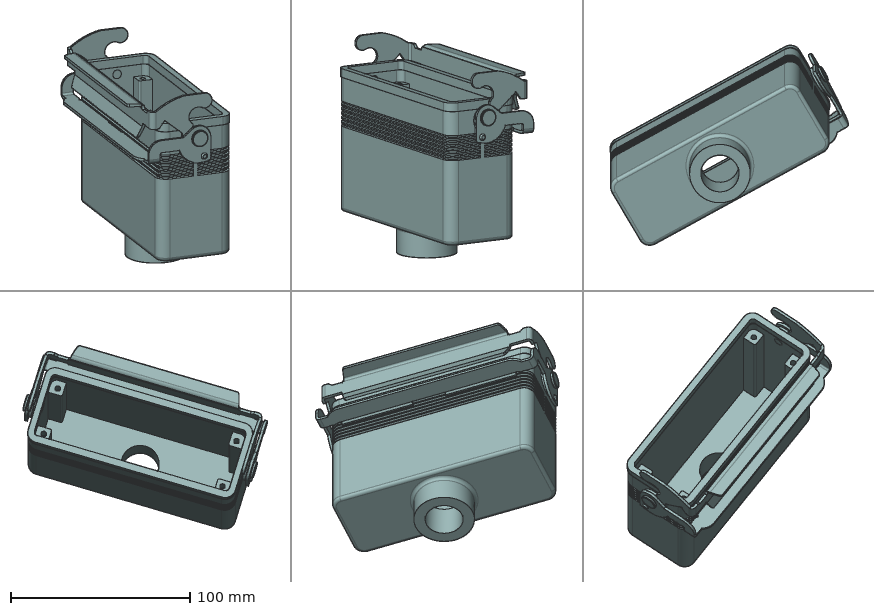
import cadquery as cq
import math


HOUSING_BOTTOM = 15.8
HOUSING_TOP = 97.0
BODY_LENGTH = 120.3
BODY_WIDTH = 44.0
BODY_CORNER_RADIUS = 6.3
BOTTOM_EDGE_RADIUS = 2.0
RIM_HEIGHT = 5.0
RIM_OVERHANG = 0.1
RIM_CORNER_RADIUS = 5.9

CAVITY_LENGTH = 113.1
CAVITY_WIDTH = 36.0
CAVITY_CORNER_RADIUS = 3.5
MOUTH_CORNER_RADIUS = 2.4
FLOOR_THICKNESS = 3.8
MOUTH_STEP = 0.1

POST_INNER_X = 48.4
POST_INNER_Y = 9.9
POST_CORNER_RADIUS = 1.1
POST_TOP = 85.2
SCREW_X = 52.0
SCREW_Y = 13.5
SCREW_HOLE_RADIUS = 1.5
SCREW_HOLE_DEPTH = 10.7

COLLAR_RADIUS = 16.9
COLLAR_ROOT_RADIUS = 2.0
BORE_RADIUS = 10.6

GROOVE_COUNT = 6
GROOVES_TOP = 78.4
GROOVES_BOTTOM = 64.2
RIDGE_HEIGHT = (GROOVES_TOP - GROOVES_BOTTOM) / (3 * GROOVE_COUNT - 1)
GROOVE_OPENING = 2 * RIDGE_HEIGHT
GROOVE_PITCH = GROOVE_OPENING + RIDGE_HEIGHT
GROOVE_BOTTOM_WIDTH = RIDGE_HEIGHT
GROOVE_DEPTH = 1.2
GROOVE_RIB_WIDTH = 2.7
CUT_MARGIN = 5.4

SHEET = 1.6
BEND_RADIUS = 2.8

PIVOT_Z = 87.9
PIN_RADIUS = 2.5
RIVET_HEAD_RADIUS = 4.7
RIVET_HEAD_CHAMFER = 0.4
LATCH_HALF_LENGTH = 67.0

LEVER_OUTER_X = 63.1
LEVER_FRONT_Y = -28.1
LEVER_TOP = 113.0
LEVER_FRONT_TOP = 105.3
LEVER_FRONT_BOTTOM = 95.4

HOOK_TIP_Y = 4.3
HOOK_TIP_RADIUS = 4.3
HOOK_TIP_Z = LEVER_TOP - HOOK_TIP_RADIUS
HOOK_MOUTH_RADIUS = 5.4
HOOK_MOUTH_MIDDLE_ANGLE = 120
HOOK_MOUTH_END_ANGLE = 197
EYE_CENTER = (-1.2, 86.0)
EYE_RADIUS = 7.9
NECK_BACK_Y = -3.1
NECK_TOP = 96.0
NECK_FRONT_CORNER_Z = 91.0
NOTCH_PEAK = (-20.0, 100.0)
NOTCH_FRONT_Y = -23.3
BROW_FRONT_Y = -25.7
BROW_ARC_POINT = (-16.1, 110.7)
BROW_BACK_Y = -8.3

FRONT_NOTCH_OUTER_X = 58.2
FRONT_NOTCH_INNER_X = 50.0
FRONT_NOTCH_BOTTOM = 103.3
LIP_ROOT_X = 49.0
LIP_TAPER_START = (48.8, -29.1)
LIP_TAPER_END = (47.2, -34.7)
LIP_TIP_X = 46.2
LIP_END_Y = -35.9
LIP_TOP = 106.5
LIP_BEND_INNER_RADIUS = 1.3
SKIRT_BEND_Z = 93.4
SKIRT_LENGTH = 7.4
SKIRT_LEAN = 23
SKIRT_ROOT_X = 50.4
SKIRT_TAPER_END = (48.4, 87.5)
SKIRT_CORNER_END = (47.2, 85.9)
SKIRT_TIP_X = 46.6

PLATE_GAP = 0.4
BAIL_OUTER_X = LEVER_OUTER_X + PLATE_GAP + SHEET
BAIL_BOTTOM = 75.7
BAIL_TOP = BAIL_BOTTOM + SHEET
BAIL_EYE_RADIUS = 7.0
BAIL_LEG_BACK = -23.5
BAIL_LEG_FRONT = -30.3
BAIL_EDGE_Y = -33.9
BAIL_EDGE_START_X = 57.9
BAIL_EDGE_ARC_POINT = (55.2, -32.7)
BAIL_EDGE_END_X = 51.2
BAIL_ARM_TOP = 89.1
BAIL_ARM_BOTTOM = 82.0
BAIL_ELBOW_RADIUS = 7.8
BAIL_INNER_ELBOW_RADIUS = 1.1
BAIL_SHOULDER_Y = -9.6
BAIL_LOBE_FRONT_Y = -11.8
BAIL_LOBE_FRONT_ARC_POINT = (-8.3, 76.6)
BAIL_LOBE_BOTTOM = 73.2
BAIL_LOBE_BACK_ARC_POINT = (3.5, 73.5)
BAIL_LOBE_BACK_CORNER_Z = 74.4
BAIL_BEND_BLOCK_HEIGHT = 4.7
BAIL_LIP_OUTER_X = 52.1
BAIL_LIP_INNER_X = 9.8
BAIL_LIP_END_Y = -22.1
BAIL_LIP_HEEL_Y = -23.0
BAIL_LIP_END_TOP = 76.0
BAIL_LIP_END_BOTTOM = 74.8
RELIEF_DEPTH = 0.8
RELIEF_CORNER_RADIUS = 0.7
RELIEF_RADIUS = 1.1

DETENT_Y = 3.1
DETENT_Z = 76.9
DETENT_BASE_RADIUS = 1.9
DETENT_TIP_RADIUS = 1.1
DETENT_HEIGHT = 1.0


def rounded_block(length, width, radius, bottom, height):
    """Upright block centred on X and Y, with rounded vertical edges."""
    block = cq.Workplane("XY", origin=(0, 0, bottom)).rect(length, width).extrude(height)
    return block.edges("|Z").fillet(radius)


def mirrored_outline(plane, right_half):
    """Closed outline from the points of its +X half, mirrored in X = 0."""
    left_half = [(-x, other) for x, other in reversed(right_half)]
    return cq.Workplane(plane).polyline(right_half + left_half).close()


def point_on_circle(center, radius, angle):
    """Point at an angle in radians on a circle."""
    return (center[0] + radius * math.cos(angle), center[1] + radius * math.sin(angle))


def cylinder_along_x(y, z, radius, start_x, end_x):
    return cq.Workplane("YZ", origin=(start_x, y, z)).circle(radius).extrude(end_x - start_x)


def with_mirror(shape):
    """Shape together with its mirror image in the YZ plane."""
    return shape.union(shape.mirror("YZ"))


def make_shell():
    body = rounded_block(
        BODY_LENGTH, BODY_WIDTH, BODY_CORNER_RADIUS, HOUSING_BOTTOM, HOUSING_TOP - HOUSING_BOTTOM
    )
    body = body.faces("<Z").edges().fillet(BOTTOM_EDGE_RADIUS)
    rim = rounded_block(
        BODY_LENGTH + 2 * RIM_OVERHANG,
        BODY_WIDTH + 2 * RIM_OVERHANG,
        RIM_CORNER_RADIUS,
        HOUSING_TOP - RIM_HEIGHT,
        RIM_HEIGHT,
    )
    collar = cq.Workplane("XY").circle(COLLAR_RADIUS).extrude(HOUSING_BOTTOM + FLOOR_THICKNESS)
    shell = body.union(rim).union(collar)
    collar_root = cq.selectors.NearestToPointSelector((0, 0, HOUSING_BOTTOM))
    return shell.edges("%CIRCLE").edges(collar_root).fillet(COLLAR_ROOT_RADIUS)


def make_groove_cutter(top):
    """Ring of tapered section around the body, left open at the middle of both short sides."""
    bottom = top - GROOVE_OPENING
    wall_height = (GROOVE_OPENING - GROOVE_BOTTOM_WIDTH) / 2
    taper = math.degrees(math.atan2(GROOVE_DEPTH, wall_height))
    block = cq.Workplane("XY", origin=(0, 0, bottom))
    block = block.rect(BODY_LENGTH + CUT_MARGIN, BODY_WIDTH + CUT_MARGIN).extrude(GROOVE_OPENING)

    def core_outline(height):
        return (
            cq.Workplane("XY", origin=(0, 0, height))
            .sketch()
            .rect(BODY_LENGTH, BODY_WIDTH)
            .vertices()
            .fillet(BODY_CORNER_RADIUS)
            .finalize()
        )

    lower_core = core_outline(bottom).extrude(wall_height, taper=taper)
    upper_core = core_outline(top).extrude(-wall_height, taper=taper)
    middle_core = rounded_block(
        BODY_LENGTH - 2 * GROOVE_DEPTH,
        BODY_WIDTH - 2 * GROOVE_DEPTH,
        BODY_CORNER_RADIUS - GROOVE_DEPTH,
        bottom,
        GROOVE_OPENING,
    )
    rib = cq.Workplane("XY", origin=(0, 0, bottom)).rect(BODY_LENGTH + CUT_MARGIN, GROOVE_RIB_WIDTH)
    rib = rib.extrude(GROOVE_OPENING)
    return block.cut(middle_core).cut(lower_core).cut(upper_core).cut(rib)


def make_cavity():
    floor = HOUSING_BOTTOM + FLOOR_THICKNESS
    cavity = rounded_block(
        CAVITY_LENGTH, CAVITY_WIDTH, CAVITY_CORNER_RADIUS, floor, HOUSING_TOP - floor
    )
    mouth = rounded_block(
        CAVITY_LENGTH + 2 * MOUTH_STEP,
        CAVITY_WIDTH + 2 * MOUTH_STEP,
        MOUTH_CORNER_RADIUS,
        HOUSING_TOP - RIM_HEIGHT,
        RIM_HEIGHT,
    )
    return cavity.union(mouth)


def make_post(x_side, y_side):
    """Corner post for one screw, reaching into the housing wall on its two outer sides."""
    floor = HOUSING_BOTTOM + FLOOR_THICKNESS
    outer_x = (CAVITY_LENGTH + BODY_LENGTH) / 4
    outer_y = (CAVITY_WIDTH + BODY_WIDTH) / 4
    post = (
        cq.Workplane("XY", origin=(0, 0, floor))
        .moveTo(x_side * (POST_INNER_X + outer_x) / 2, y_side * (POST_INNER_Y + outer_y) / 2)
        .rect(outer_x - POST_INNER_X, outer_y - POST_INNER_Y)
        .extrude(POST_TOP - floor)
    )
    inner_edge = cq.selectors.NearestToPointSelector(
        (x_side * POST_INNER_X, y_side * POST_INNER_Y, (floor + POST_TOP) / 2)
    )
    return post.edges("|Z").edges(inner_edge).fillet(POST_CORNER_RADIUS)


def make_screw_hole(x_side, y_side):
    """Blind drilled hole with a conical end."""
    hole_bottom = POST_TOP - SCREW_HOLE_DEPTH
    profile = [
        (0, POST_TOP),
        (SCREW_HOLE_RADIUS, POST_TOP),
        (SCREW_HOLE_RADIUS, hole_bottom),
        (0, hole_bottom - SCREW_HOLE_RADIUS),
    ]
    hole = cq.Workplane("XZ").polyline(profile).close().revolve(360, (0, 0), (0, 1))
    return hole.translate((x_side * SCREW_X, y_side * SCREW_Y, 0))


def make_housing():
    housing = make_shell().cut(make_cavity())
    for x_side in (-1, 1):
        for y_side in (-1, 1):
            housing = housing.union(make_post(x_side, y_side))
            housing = housing.cut(make_screw_hole(x_side, y_side))
    for index in range(GROOVE_COUNT):
        housing = housing.cut(make_groove_cutter(GROOVES_TOP - index * GROOVE_PITCH))
    bore = cq.Workplane("XY").circle(BORE_RADIUS).extrude(HOUSING_TOP)
    pin_holes = cylinder_along_x(0, PIVOT_Z, PIN_RADIUS, -BODY_LENGTH / 2, BODY_LENGTH / 2)
    return housing.cut(bore).cut(pin_holes)


def make_lever_side_prism():
    """Hooked side shape of the lever, from back to front, as wide as the whole lever."""
    reach = HOOK_TIP_RADIUS + HOOK_MOUTH_RADIUS
    mouth_center = (0, HOOK_TIP_Z - math.sqrt(reach**2 - HOOK_TIP_Y**2))
    tip_center = (HOOK_TIP_Y, HOOK_TIP_Z)
    slope = math.atan2(mouth_center[1] - tip_center[1], mouth_center[0] - tip_center[0])
    tangent_point = point_on_circle(tip_center, HOOK_TIP_RADIUS, slope)
    mouth_top = point_on_circle(mouth_center, HOOK_MOUTH_RADIUS, math.radians(HOOK_MOUTH_MIDDLE_ANGLE))
    mouth_end = point_on_circle(mouth_center, HOOK_MOUTH_RADIUS, math.radians(HOOK_MOUTH_END_ANGLE))

    eye_front_y = EYE_CENTER[0] - EYE_RADIUS
    plate = (
        cq.Workplane("YZ", origin=(-LEVER_OUTER_X, 0, 0))
        .moveTo(HOOK_TIP_Y, LEVER_TOP)
        .threePointArc(point_on_circle(tip_center, HOOK_TIP_RADIUS, 0), tangent_point)
        .threePointArc(mouth_top, mouth_end)
        .lineTo(NECK_BACK_Y, NECK_TOP)
        .lineTo(NECK_BACK_Y, EYE_CENTER[1])
        .lineTo(eye_front_y, EYE_CENTER[1])
        .lineTo(eye_front_y, NECK_FRONT_CORNER_Z)
        .lineTo(*NOTCH_PEAK)
        .lineTo(NOTCH_FRONT_Y, LEVER_FRONT_BOTTOM)
        .lineTo(LEVER_FRONT_Y, LEVER_FRONT_BOTTOM)
        .lineTo(LEVER_FRONT_Y, LEVER_FRONT_TOP)
        .lineTo(BROW_FRONT_Y, LEVER_FRONT_TOP)
        .threePointArc(BROW_ARC_POINT, (BROW_BACK_Y, LEVER_TOP))
        .close()
        .extrude(2 * LEVER_OUTER_X)
    )
    eye = cylinder_along_x(*EYE_CENTER, EYE_RADIUS, -LEVER_OUTER_X, LEVER_OUTER_X)
    return plate.union(eye)


def make_lever_u_sheet():
    """U-shaped sheet with two rounded bends, open to the back, tall enough for the whole lever."""
    back_y = HOOK_TIP_Y + HOOK_TIP_RADIUS + SHEET
    depth = back_y - LEVER_FRONT_Y

    def bent_block(margin, radius):
        block = cq.Workplane("XY").box(
            2 * (LEVER_OUTER_X - margin), depth, LEVER_TOP, centered=(True, False, False)
        )
        block = block.translate((0, LEVER_FRONT_Y + margin, 0))
        return block.edges("|Z and <Y").fillet(radius)

    return bent_block(0, BEND_RADIUS).cut(bent_block(SHEET, BEND_RADIUS - SHEET))


def make_front_notches():
    """Cutter for the notch at each end of the front plate's upper edge, its outer flank at 45 degrees."""
    notch_depth = LEVER_FRONT_TOP - FRONT_NOTCH_BOTTOM
    notch = [
        (FRONT_NOTCH_OUTER_X, LEVER_FRONT_TOP),
        (FRONT_NOTCH_OUTER_X - notch_depth, FRONT_NOTCH_BOTTOM),
        (FRONT_NOTCH_INNER_X, FRONT_NOTCH_BOTTOM),
        (LIP_ROOT_X, LEVER_FRONT_TOP),
    ]
    cutter = cq.Workplane("XZ").polyline(notch).close().extrude(-LEVER_FRONT_Y)
    return with_mirror(cutter)


def make_grip_lip():
    """Upper edge of the front plate bent outwards, narrowing to its end."""
    inner_y = LEVER_FRONT_Y + SHEET
    outer_bend = LIP_BEND_INNER_RADIUS + SHEET
    bend_end_y = LEVER_FRONT_Y - LIP_BEND_INNER_RADIUS
    bend_start_z = LIP_TOP - outer_bend
    sheet = (
        cq.Workplane("YZ", origin=(-LEVER_OUTER_X, 0, 0))
        .moveTo(LEVER_FRONT_Y, bend_start_z)
        .lineTo(inner_y, bend_start_z)
        .radiusArc((bend_end_y, LIP_TOP), -outer_bend)
        .lineTo(LIP_END_Y, LIP_TOP)
        .lineTo(LIP_END_Y, LIP_TOP - SHEET)
        .lineTo(bend_end_y, LIP_TOP - SHEET)
        .radiusArc((LEVER_FRONT_Y, bend_start_z), LIP_BEND_INNER_RADIUS)
        .close()
        .extrude(2 * LEVER_OUTER_X)
    )
    plan = [(LIP_ROOT_X, inner_y), LIP_TAPER_START, LIP_TAPER_END, (LIP_TIP_X, LIP_END_Y)]
    return sheet.intersect(mirrored_outline("XY", plan).extrude(LEVER_TOP))


def make_skirt():
    """Lower edge of the front plate, leaning outwards and narrowing to its end."""
    inner_y = LEVER_FRONT_Y + SHEET
    lean = math.radians(SKIRT_LEAN)
    outer_end = (
        LEVER_FRONT_Y - SKIRT_LENGTH * math.sin(lean),
        SKIRT_BEND_Z - SKIRT_LENGTH * math.cos(lean),
    )
    inner_end = (outer_end[0] + SHEET * math.cos(lean), outer_end[1] - SHEET * math.sin(lean))
    profile = [
        (inner_y, LEVER_FRONT_BOTTOM),
        (LEVER_FRONT_Y, LEVER_FRONT_BOTTOM),
        (LEVER_FRONT_Y, SKIRT_BEND_Z),
        outer_end,
        inner_end,
        (inner_y, SKIRT_BEND_Z - SHEET * math.tan(lean / 2)),
    ]
    sheet = cq.Workplane("YZ", origin=(-LEVER_OUTER_X, 0, 0)).polyline(profile).close()
    sheet = sheet.extrude(2 * LEVER_OUTER_X)
    front = [
        (SKIRT_ROOT_X, LEVER_FRONT_BOTTOM),
        SKIRT_TAPER_END,
        SKIRT_CORNER_END,
        (SKIRT_TIP_X, inner_end[1]),
    ]
    return sheet.intersect(mirrored_outline("XZ", front).extrude(-LIP_END_Y))


def make_lever():
    lever = make_lever_u_sheet().intersect(make_lever_side_prism()).cut(make_front_notches())
    return lever.union(make_grip_lip()).union(make_skirt())


def make_bail_side():
    """Side plate of the bail on -X, outside the lever."""
    eye_center = (0, PIVOT_Z)
    shoulder = (BAIL_SHOULDER_Y, BAIL_ARM_TOP)
    shoulder_angle = math.atan2(shoulder[1] - PIVOT_Z, shoulder[0])
    tangent_turn = math.acos(BAIL_EYE_RADIUS / math.hypot(shoulder[0], shoulder[1] - PIVOT_Z))
    eye_tangent = point_on_circle(eye_center, BAIL_EYE_RADIUS, shoulder_angle - tangent_turn)
    return (
        cq.Workplane("YZ", origin=(-BAIL_OUTER_X, 0, 0))
        .moveTo(BAIL_EYE_RADIUS, PIVOT_Z)
        .threePointArc((0, PIVOT_Z + BAIL_EYE_RADIUS), eye_tangent)
        .lineTo(*shoulder)
        .lineTo(BAIL_LEG_FRONT + BAIL_ELBOW_RADIUS, BAIL_ARM_TOP)
        .radiusArc((BAIL_LEG_FRONT, BAIL_ARM_TOP - BAIL_ELBOW_RADIUS), -BAIL_ELBOW_RADIUS)
        .lineTo(BAIL_LEG_FRONT, BAIL_BOTTOM + BEND_RADIUS)
        .lineTo(BAIL_LEG_BACK, BAIL_BOTTOM + BEND_RADIUS)
        .lineTo(BAIL_LEG_BACK, BAIL_ARM_BOTTOM - BAIL_INNER_ELBOW_RADIUS)
        .radiusArc((BAIL_LEG_BACK + BAIL_INNER_ELBOW_RADIUS, BAIL_ARM_BOTTOM), BAIL_INNER_ELBOW_RADIUS)
        .lineTo(BAIL_LOBE_FRONT_Y, BAIL_ARM_BOTTOM)
        .threePointArc(BAIL_LOBE_FRONT_ARC_POINT, (0, BAIL_LOBE_BOTTOM))
        .threePointArc(BAIL_LOBE_BACK_ARC_POINT, (BAIL_EYE_RADIUS, BAIL_LOBE_BACK_CORNER_Z))
        .close()
        .extrude(SHEET)
    )


def make_bail_bends():
    """Flat strip between the legs with its two rounded bends."""
    leg_width = BAIL_LEG_BACK - BAIL_LEG_FRONT

    def bent_block(margin, radius):
        block = cq.Workplane("XY").box(
            2 * (BAIL_OUTER_X - margin),
            leg_width,
            BAIL_BEND_BLOCK_HEIGHT,
            centered=(True, False, False),
        )
        block = block.translate((0, BAIL_LEG_FRONT, BAIL_BOTTOM + margin))
        return block.edges("|Y and <Z").fillet(radius)

    return bent_block(0, BEND_RADIUS).cut(bent_block(SHEET, BEND_RADIUS - SHEET))


def make_bail_front_edge():
    """Widened front edge of the bail's strip, with rounded ends."""
    arc_x, arc_y = BAIL_EDGE_ARC_POINT
    return (
        cq.Workplane("XY", origin=(0, 0, BAIL_BOTTOM))
        .moveTo(BAIL_EDGE_START_X, BAIL_LEG_FRONT)
        .threePointArc((arc_x, arc_y), (BAIL_EDGE_END_X, BAIL_EDGE_Y))
        .lineTo(-BAIL_EDGE_END_X, BAIL_EDGE_Y)
        .threePointArc((-arc_x, arc_y), (-BAIL_EDGE_START_X, BAIL_LEG_FRONT))
        .close()
        .extrude(SHEET)
    )


def make_bail_lip():
    """Turned-down back edge of the bail's strip on -X, next to the middle gap."""
    profile = [
        (BAIL_LEG_BACK - RELIEF_DEPTH, BAIL_TOP),
        (BAIL_LEG_BACK, BAIL_TOP),
        (BAIL_LIP_END_Y, BAIL_LIP_END_TOP),
        (BAIL_LIP_END_Y, BAIL_LIP_END_BOTTOM),
        (BAIL_LIP_HEEL_Y, BAIL_LIP_END_BOTTOM),
        (BAIL_LEG_BACK - RELIEF_DEPTH, BAIL_BOTTOM),
    ]
    lip = cq.Workplane("YZ", origin=(-BAIL_LIP_OUTER_X, 0, 0)).polyline(profile).close()
    return lip.extrude(BAIL_LIP_OUTER_X - BAIL_LIP_INNER_X)


def make_bail_reliefs():
    """Cutter for the middle gap and the round relief at the outer end of each lip."""
    middle = cq.Workplane("XY", origin=(0, BAIL_LEG_BACK, BAIL_BOTTOM))
    middle = middle.rect(2 * BAIL_LIP_INNER_X, 2 * RELIEF_DEPTH).extrude(SHEET)
    middle = middle.edges("|Z and <Y").fillet(RELIEF_CORNER_RADIUS)
    relief_y = BAIL_LEG_BACK - RELIEF_DEPTH + RELIEF_RADIUS
    relief = cq.Workplane("XY", origin=(-BAIL_LIP_OUTER_X - RELIEF_RADIUS, relief_y, BAIL_BOTTOM))
    relief = relief.circle(RELIEF_RADIUS).extrude(SHEET)
    return middle.union(with_mirror(relief))


def make_bail():
    strip = make_bail_bends().union(make_bail_front_edge()).cut(make_bail_reliefs())
    return strip.union(with_mirror(make_bail_side().union(make_bail_lip())))


def make_rivet():
    """Pivot pin on -X, flush with the inside of the housing wall, with its head outside."""
    pin = cylinder_along_x(0, PIVOT_Z, PIN_RADIUS, -BAIL_OUTER_X, -CAVITY_LENGTH / 2)
    head = cylinder_along_x(0, PIVOT_Z, RIVET_HEAD_RADIUS, -LATCH_HALF_LENGTH, -BAIL_OUTER_X)
    head = head.edges("%CIRCLE").chamfer(RIVET_HEAD_CHAMFER)
    return pin.union(head)


def make_detent():
    """Conical stud on the outside of the bail's -X side."""
    base = cq.Workplane("YZ", origin=(-BAIL_OUTER_X, DETENT_Y, DETENT_Z)).circle(DETENT_BASE_RADIUS)
    return base.workplane(offset=-DETENT_HEIGHT).circle(DETENT_TIP_RADIUS).loft(combine=True)


def make_latch():
    latch = make_lever().union(make_bail())
    return latch.union(with_mirror(make_rivet())).union(with_mirror(make_detent()))


housing = make_housing()
latch = make_latch()
result = cq.Compound.makeCompound([housing.solids().val(), latch.solids().val()])